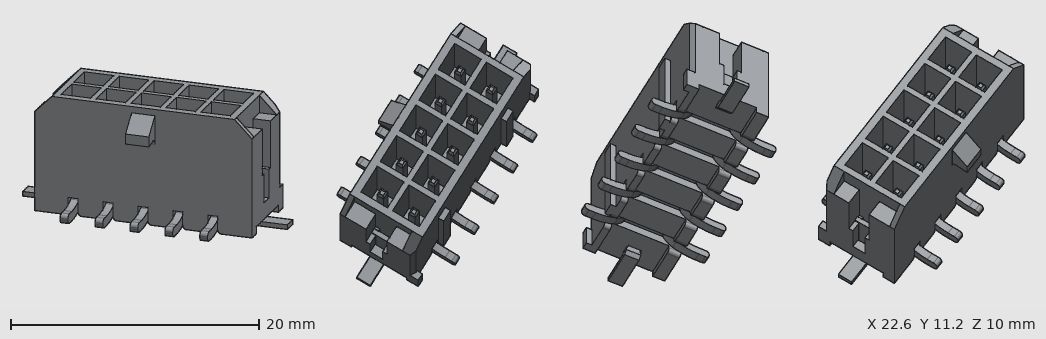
import cadquery as cq
import math


total_length = 22.65
body_length = 18.62
body_depth = 6.89
body_height = 10.0
end_step = 1.5
back_web = 1.0
front_web = 0.48
body_end = body_length / 2
box_end = body_end - end_step
body_back = body_depth / 2
body_front = -body_back
tower_top = body_height - end_step

bevel_length = 0.48
bevel_depth = 0.27

columns = 5
pitch = 3.0
cavity_size = 2.51
cavity_floor = 2.5
grid_offset = -0.035
column_places = [grid_offset + (i - (columns - 1) / 2) * pitch for i in range(columns)]
row_places = [-pitch / 2, pitch / 2]

pin_width = 0.68
pin_depth = 0.63
pin_tip_size = 0.35
pin_taper = 0.25
pin_top = 8.1

lead_reach = 5.6
lead_thickness = 0.82
lead_tip_radius = 0.35
lead_flat_end = 4.65
lead_bend_angle = 27.0
lead_bend_radius = 3.62
lead_rise_radius = 1.13

tunnel_width = 0.84
tunnel_height = 1.5
tunnel_mouth_radius = 0.35
standoff = 0.61
recess_front = -2.35
recess_back = 2.83

ear_length = 0.63
rear_reach = 3.95
ear_top = 2.04
key_width = 1.05
key_offset = 4.85
key_top = 8.06

latch_width = 2.0
latch_tip = -4.9
latch_top = 9.47
latch_nose_top = 8.15
latch_nose_bottom = 7.3
latch_arc_start = 0.39
latch_arc_height = 7.43
latch_root = 7.02

nail_thickness = 0.4
nail_width = 1.3
nail_head_width = 1.97
nail_top = 4.65
nail_bevel = 0.32
nail_gap = 0.23
slot_ledge = 4.5
window_width = 1.18
window_bottom = 2.04
window_depth = 0.75
nail_inner = box_end + nail_gap
nail_outer = nail_inner + nail_thickness


def block(x_range, y_range, z_range):
    """Axis-aligned block between the given limits."""
    limits = [sorted(r) for r in (x_range, y_range, z_range)]
    size = [high - low for low, high in limits]
    corner = [low for low, high in limits]
    return cq.Workplane("XY").box(*size, centered=False).translate(tuple(corner))


def centred(width):
    """Limits of a width centred on zero."""
    return (-width / 2, width / 2)


def shell():
    """Long box with 45 degree top corners and bevelled back corners."""
    body = (
        cq.Workplane("XZ", origin=(0, body_back, 0))
        .moveTo(-body_end, 0)
        .lineTo(-body_end, tower_top)
        .lineTo(-box_end, body_height)
        .lineTo(box_end, body_height)
        .lineTo(body_end, tower_top)
        .lineTo(body_end, 0)
        .close()
        .extrude(body_depth)
    )
    for side in (-1, 1):
        bevel = (
            cq.Workplane("XY", origin=(0, 0, ear_top))
            .moveTo(side * body_end, body_back)
            .lineTo(side * (body_end - bevel_length), body_back)
            .lineTo(side * body_end, body_back - bevel_depth)
            .close()
            .extrude(body_height - ear_top)
        )
        body = body.cut(bevel)
    return body


def tower_step(side):
    """Space over one end tower, between its two sloped webs."""
    webs = (body_front + front_web, body_back - back_web)
    return block((side * box_end, side * body_end), webs, (tower_top, body_height))


def nail_slot(side):
    """Stepped slot in one end tower: head slot, window and through channel."""
    x_full = (side * box_end, side * body_end)
    x_channel = (side * box_end, side * (body_end - window_depth))
    head_slot = block(x_full, centred(nail_head_width), (slot_ledge, body_height))
    window = block(x_full, centred(window_width), (window_bottom, slot_ledge))
    channel = block(x_channel, centred(window_width), (0, window_bottom))
    return head_slot.union(window).union(channel)


def lead_tunnel(x):
    """Slot along Y under one contact column, with rounded lower mouth edges."""
    half = tunnel_width / 2
    r = tunnel_mouth_radius
    return (
        cq.Workplane("XZ", origin=(x, body_back, 0))
        .moveTo(-half - r, 0)
        .radiusArc((-half, r), -r)
        .lineTo(-half, tunnel_height)
        .lineTo(half, tunnel_height)
        .lineTo(half, r)
        .radiusArc((half + r, 0), -r)
        .close()
        .extrude(body_depth)
    )


def cavity(x, y):
    """Square contact cavity open at the top."""
    depth = body_height - cavity_floor
    return cq.Workplane("XY", origin=(x, y, cavity_floor)).rect(cavity_size, cavity_size).extrude(depth)


def latch():
    """Wedge-shaped latch on the front wall with a curved root below."""
    return (
        cq.Workplane("YZ", origin=(-latch_width / 2, 0, 0))
        .moveTo(body_front, latch_top)
        .lineTo(latch_tip, latch_nose_top)
        .lineTo(latch_tip, latch_nose_bottom)
        .lineTo(body_front - latch_arc_start, latch_arc_height)
        .tangentArcPoint((body_front, latch_root), relative=False)
        .close()
        .extrude(latch_width)
    )


def rear_ear(side):
    """Low ear behind one end tower."""
    x_range = (side * (body_end - ear_length), side * body_end)
    return block(x_range, (recess_back, rear_reach), (0, ear_top))


def rear_key(side):
    """Polarising key standing on the back wall."""
    low, high = centred(key_width)
    middle = side * key_offset
    return block((middle + low, middle + high), (recess_back, rear_reach), (0, key_top))


def pin(x, y):
    """Pin rising from a cavity floor to a tapered tip."""
    shank = (
        cq.Workplane("XY", origin=(x, y, cavity_floor))
        .rect(pin_width, pin_depth)
        .extrude(pin_top - pin_taper - cavity_floor)
    )
    tip = (
        cq.Workplane("XY", origin=(x, y, pin_top - pin_taper))
        .rect(pin_width, pin_depth)
        .workplane(offset=pin_taper)
        .rect(pin_tip_size, pin_tip_size)
        .loft(combine=True)
    )
    return shank.union(tip)


def lead(x, side):
    """Flat-soled lead that bends up in two arcs into the housing floor."""
    first_centre = (lead_flat_end, lead_thickness + lead_bend_radius)
    radius_drop = lead_bend_radius - lead_rise_radius
    turn = math.radians(lead_bend_angle)
    second_centre = (
        first_centre[0] - radius_drop * math.sin(turn),
        first_centre[1] - radius_drop * math.cos(turn),
    )

    def on_arc(centre, radius, degrees):
        """Point on an arc, with the angle turned from straight down."""
        a = math.radians(degrees)
        return (side * (centre[0] - radius * math.sin(a)), centre[1] - radius * math.cos(a))

    upright = 90.0
    first_mid = lead_bend_angle / 2
    second_mid = (lead_bend_angle + upright) / 2
    first_under = lead_bend_radius + lead_thickness
    second_under = lead_rise_radius + lead_thickness
    tip = side * lead_reach
    tip_start = side * (lead_reach - lead_tip_radius)
    return (
        cq.Workplane("YZ", origin=(x - pin_width / 2, 0, 0))
        .moveTo(tip_start, 0)
        .lineTo(side * lead_flat_end, 0)
        .threePointArc(
            on_arc(first_centre, first_under, first_mid),
            on_arc(first_centre, first_under, lead_bend_angle),
        )
        .threePointArc(
            on_arc(second_centre, second_under, second_mid),
            on_arc(second_centre, second_under, upright),
        )
        .lineTo(*on_arc(second_centre, lead_rise_radius, upright))
        .threePointArc(
            on_arc(second_centre, lead_rise_radius, second_mid),
            on_arc(second_centre, lead_rise_radius, lead_bend_angle),
        )
        .threePointArc(
            on_arc(first_centre, lead_bend_radius, first_mid),
            (side * lead_flat_end, lead_thickness),
        )
        .lineTo(tip_start, lead_thickness)
        .tangentArcPoint((tip, lead_thickness - lead_tip_radius), relative=False)
        .lineTo(tip, lead_tip_radius)
        .tangentArcPoint((tip_start, 0), relative=False)
        .close()
        .extrude(pin_width)
    )


def make_housing(nails):
    """Connector body with its moulded-in contacts and seats for the nails."""
    body = shell()
    for side in (-1, 1):
        body = body.union(rear_ear(side)).union(rear_key(side))
        body = body.cut(tower_step(side)).cut(nail_slot(side))
    body = body.cut(block(centred(body_length), (recess_front, recess_back), (0, standoff)))
    for x in column_places:
        body = body.cut(lead_tunnel(x))
        for y in row_places:
            body = body.cut(cavity(x, y))
    for nail in nails:
        body = body.cut(nail)
    body = body.union(latch())
    for x in column_places:
        for y in row_places:
            body = body.union(pin(x, y))
            body = body.union(lead(x, math.copysign(1, y)))
    return body


def make_nail(side):
    """L-shaped nail: foot on the board, sloped heel, upright leg and wide head."""
    foot_end = side * total_length / 2
    outer = side * nail_outer
    inner = side * nail_inner
    strip = (
        cq.Workplane("XZ", origin=(0, nail_width / 2, 0))
        .moveTo(foot_end, 0)
        .lineTo(foot_end, nail_thickness)
        .lineTo(side * (nail_outer + nail_bevel), nail_thickness)
        .lineTo(outer, nail_thickness + nail_bevel)
        .lineTo(outer, nail_top)
        .lineTo(inner, nail_top)
        .lineTo(inner, nail_bevel)
        .lineTo(side * (nail_inner + nail_bevel), 0)
        .close()
        .extrude(nail_width)
    )
    head = block((inner, outer), centred(nail_head_width), (slot_ledge, nail_top))
    return strip.union(head)


solder_nails = [make_nail(side) for side in (-1, 1)]
housing = make_housing(solder_nails)

result = cq.Compound.makeCompound([housing.solids().val(), *[nail.solids().val() for nail in solder_nails]])